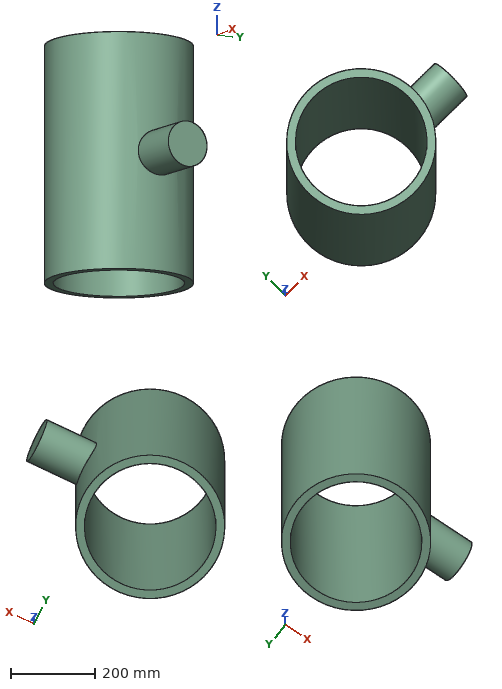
import cadquery as cq

pipe_diameter = 355.0
pipe_wall = 21.1
pipe_length = 575.0

branch_diameter = 110.0
branch_reach = 300.0

pipe_radius = pipe_diameter / 2
bore_radius = pipe_radius - pipe_wall


def vertical_cylinder(radius):
    """Full-length cylinder on the main pipe axis, centred in height."""
    return cq.Workplane("XY").circle(radius).extrude(pipe_length / 2, both=True)


def make_branch():
    """Plain round branch from the main pipe axis out to its end face."""
    return cq.Workplane("YZ").circle(branch_diameter / 2).extrude(branch_reach)


result = vertical_cylinder(pipe_radius).union(make_branch()).cut(vertical_cylinder(bore_radius))